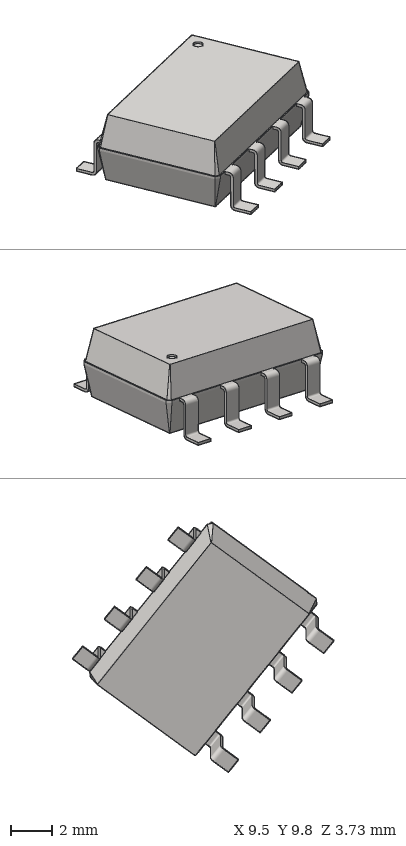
import cadquery as cq

OVERALL_HEIGHT = 3.73
LEAD_SPAN = 9.5
BODY_WIDTH = 6.68
BODY_LENGTH = 9.8

STANDOFF = 0.15
FLANGE_THICKNESS = 0.15
FLANGE_TOP = 2.03
FLANGE_BOTTOM = FLANGE_TOP - FLANGE_THICKNESS
FLANGE_CORNER = 0.2
UPPER_STEP = 0.07
UPPER_CORNER = 0.15
TOP_INSET = 0.42
BOTTOM_INSET = 0.35
END_CORNER = 0.02

DOT_DIAMETER = 0.5
DOT_DEPTH = 0.1
DOT_EDGE_OFFSET = 0.7

LEADS_PER_SIDE = 4
LEAD_PITCH = 2.54
LEAD_WIDTH = 0.8
LEAD_THICKNESS = FLANGE_THICKNESS
FOOT_LENGTH = 0.95
BEND_INNER_RADIUS = 0.1
BEND_OUTER_RADIUS = BEND_INNER_RADIUS + LEAD_THICKNESS
LEAD_EMBED = 0.5


def chamfered_outline(z, inset, corner):
    """Closed wire at height z: the flange rectangle inset, with chamfered corners."""
    half_x = BODY_WIDTH / 2 - inset
    half_y = BODY_LENGTH / 2 - inset
    points = [
        (half_x, half_y - corner),
        (half_x - corner, half_y),
        (-half_x + corner, half_y),
        (-half_x, half_y - corner),
        (-half_x, -half_y + corner),
        (-half_x + corner, -half_y),
        (half_x - corner, -half_y),
        (half_x, -half_y + corner),
    ]
    return cq.Wire.makePolygon([cq.Vector(x, y, z) for x, y in points], close=True)


def body_section(lower_outline, upper_outline):
    """Flat-sided block between two chamfered outlines."""
    return cq.Workplane(cq.Solid.makeLoft([lower_outline, upper_outline], True))


def make_body():
    lower = body_section(
        chamfered_outline(STANDOFF, BOTTOM_INSET, END_CORNER),
        chamfered_outline(FLANGE_BOTTOM, 0, FLANGE_CORNER),
    )
    flange = body_section(
        chamfered_outline(FLANGE_BOTTOM, 0, FLANGE_CORNER),
        chamfered_outline(FLANGE_TOP, 0, FLANGE_CORNER),
    )
    upper = body_section(
        chamfered_outline(FLANGE_TOP, UPPER_STEP, UPPER_CORNER),
        chamfered_outline(OVERALL_HEIGHT, TOP_INSET, END_CORNER),
    )
    return lower.union(flange).union(upper)


def make_pin_one_dot():
    dot_x = -(BODY_WIDTH / 2 - TOP_INSET - DOT_EDGE_OFFSET)
    dot_y = BODY_LENGTH / 2 - TOP_INSET - DOT_EDGE_OFFSET
    return (
        cq.Workplane("XY", origin=(dot_x, dot_y, OVERALL_HEIGHT - DOT_DEPTH))
        .circle(DOT_DIAMETER / 2)
        .extrude(DOT_DEPTH)
    )


def make_lead():
    """One lead on the +X side, centred on Y = 0."""
    toe = LEAD_SPAN / 2
    upright_outer = toe - FOOT_LENGTH
    upright_inner = upright_outer - LEAD_THICKNESS
    buried_end = BODY_WIDTH / 2 - LEAD_EMBED
    shoulder_x = upright_outer - BEND_OUTER_RADIUS
    shoulder_z = FLANGE_TOP - BEND_OUTER_RADIUS
    heel_x = upright_inner + BEND_OUTER_RADIUS
    heel_z = BEND_OUTER_RADIUS
    return (
        cq.Workplane("XZ")
        .moveTo(buried_end, FLANGE_TOP)
        .lineTo(shoulder_x, FLANGE_TOP)
        .tangentArcPoint((upright_outer, shoulder_z), relative=False)
        .lineTo(upright_outer, heel_z)
        .tangentArcPoint((heel_x, LEAD_THICKNESS), relative=False)
        .lineTo(toe, LEAD_THICKNESS)
        .lineTo(toe, 0)
        .lineTo(heel_x, 0)
        .tangentArcPoint((upright_inner, heel_z), relative=False)
        .lineTo(upright_inner, shoulder_z)
        .tangentArcPoint((shoulder_x, FLANGE_BOTTOM), relative=False)
        .lineTo(buried_end, FLANGE_BOTTOM)
        .close()
        .extrude(LEAD_WIDTH / 2, both=True)
    )


def add_leads(package):
    right_lead = make_lead()
    left_lead = right_lead.mirror("YZ")
    first_y = -LEAD_PITCH * (LEADS_PER_SIDE - 1) / 2
    for index in range(LEADS_PER_SIDE):
        offset = (0, first_y + index * LEAD_PITCH, 0)
        package = package.union(right_lead.translate(offset))
        package = package.union(left_lead.translate(offset))
    return package


result = add_leads(make_body().cut(make_pin_one_dot()))